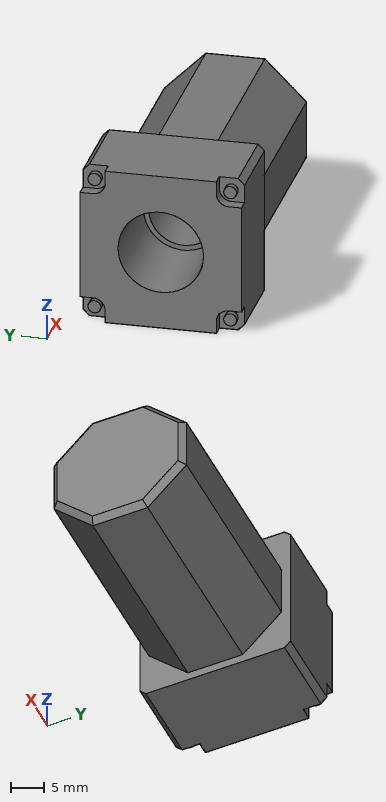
import cadquery as cq
import math

head_width = 25.0
head_length = 15.0
head_corner_chamfer = 1.0

total_length = 50.0
body_across_flats = 22.0
body_end_chamfer = 1.0

pin_inset = 2.0
pocket_size = 3.9
pocket_depth = 2.0
pocket_radius = pocket_size - pin_inset
pin_diameter = 2.0
pin_height = 1.0

mouth_diameter = 13.2
mouth_end_diameter = 12.4
mouth_depth = 15.0
bore_diameter = 10.8
bore_depth = 35.0
cone_angle = 120.0
cone_depth = bore_diameter / 2 / math.tan(math.radians(cone_angle / 2))

CORNER_SIGNS = [(y_sign, z_sign) for y_sign in (-1, 1) for z_sign in (-1, 1)]


def make_head():
    return (
        cq.Workplane("YZ")
        .rect(head_width, head_width)
        .extrude(head_length)
        .edges("|X")
        .chamfer(head_corner_chamfer)
    )


def make_body():
    """Regular octagon, the overlap of two square bars turned 45 degrees apart, chamfered at its free end."""
    square = cq.Workplane("YZ", origin=(head_length, 0, 0)).rect(body_across_flats, body_across_flats)
    block = square.extrude(total_length - head_length)
    diamond = block.rotate((0, 0, 0), (1, 0, 0), 45)
    return block.intersect(diamond).faces(">X").chamfer(body_end_chamfer)


def make_pocket(y_sign, z_sign):
    """Corner pocket, rounded at its inner corner, less the pin left standing on its floor."""
    centre_offset = (head_width - pocket_size) / 2
    pocket = (
        cq.Workplane("YZ")
        .center(y_sign * centre_offset, z_sign * centre_offset)
        .rect(pocket_size, pocket_size)
        .extrude(pocket_depth)
        .edges("|X")
        .edges(cq.selectors.NearestToPointSelector((pocket_depth / 2, 0, 0)))
        .fillet(pocket_radius)
    )
    pin_offset = head_width / 2 - pin_inset
    pin = (
        cq.Workplane("YZ", origin=(pocket_depth - pin_height, 0, 0))
        .center(y_sign * pin_offset, z_sign * pin_offset)
        .circle(pin_diameter / 2)
        .extrude(pin_height)
    )
    return pocket.cut(pin)


def make_bore():
    """Revolved bore: tapered mouth, narrower bore, conical bottom."""
    return (
        cq.Workplane("XY")
        .polyline(
            [
                (0, 0),
                (0, mouth_diameter / 2),
                (mouth_depth, mouth_end_diameter / 2),
                (mouth_depth, bore_diameter / 2),
                (bore_depth, bore_diameter / 2),
                (bore_depth + cone_depth, 0),
            ]
        )
        .close()
        .revolve(360, (0, 0, 0), (1, 0, 0))
    )


result = make_head().union(make_body())
for y_sign, z_sign in CORNER_SIGNS:
    result = result.cut(make_pocket(y_sign, z_sign))
result = result.cut(make_bore())